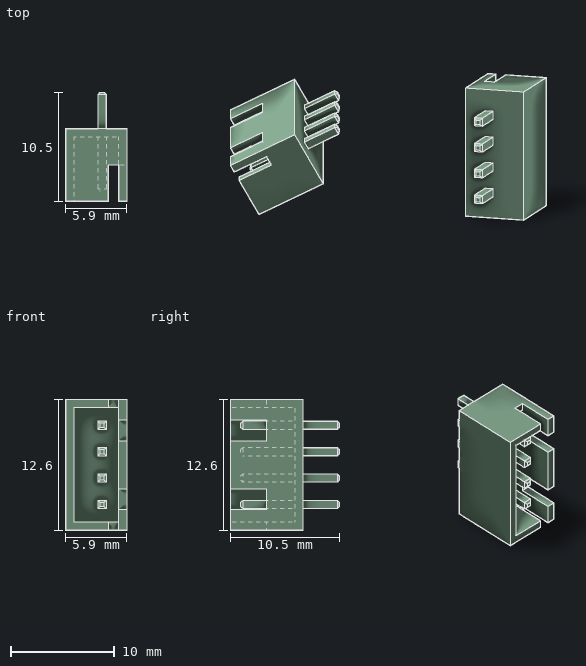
import cadquery as cq

housing_width = 5.9
housing_depth = 7.0
housing_height = 12.62
wall = 0.8

slot_depth = 3.5
end_slot_width = 1.0
side_slot_height = 2.0
side_slot_inset = 2.0

pin_count = 4
pin_pitch = 2.54
pin_size = 0.8
pin_x = 3.5
pin_taper = 0.2
pin_front_y = 1.0
pin_tail_length = 3.5

inner_wall_x = housing_width - wall
cavity_depth = housing_depth - wall
pin_length = housing_depth + pin_tail_length - pin_front_y
first_pin_z = (housing_height - (pin_count - 1) * pin_pitch) / 2


def block(corner, size):
    """Box with its lowest corner at `corner`."""
    return cq.Workplane("XY").box(*size, centered=False).translate(corner)


def make_housing():
    """Rectangular shell, closed at the back and open at the mouth."""
    shell = block((0, 0, 0), (housing_width, housing_depth, housing_height))
    cavity = block(
        (wall, 0, wall),
        (housing_width - 2 * wall, cavity_depth, housing_height - 2 * wall),
    )
    return shell.cut(cavity)


def cut_end_slots(body):
    """Slot through both end walls, flush with the inside of the +X wall."""
    slot = block(
        (inner_wall_x - end_slot_width, 0, 0),
        (end_slot_width, slot_depth, housing_height),
    )
    return body.cut(slot)


def cut_side_slots(body):
    """Two slots through the +X wall, equally far from the two ends."""
    upper_slot_z = housing_height - side_slot_inset - side_slot_height
    for slot_z in (side_slot_inset, upper_slot_z):
        slot = block((inner_wall_x, 0, slot_z), (wall, slot_depth, side_slot_height))
        body = body.cut(slot)
    return body


def make_pin(z):
    """Square pin along Y, centred at height `z`, with both ends tapered."""
    corner = (pin_x - pin_size / 2, pin_front_y, z - pin_size / 2)
    pin = block(corner, (pin_size, pin_length, pin_size))
    return pin.faces("<Y or >Y").chamfer(pin_taper)


def add_pins(body):
    """Row of evenly spaced pins passing through the back of the housing."""
    for index in range(pin_count):
        body = body.union(make_pin(first_pin_z + index * pin_pitch))
    return body


housing = make_housing()
housing = cut_end_slots(housing)
housing = cut_side_slots(housing)
result = add_pins(housing)